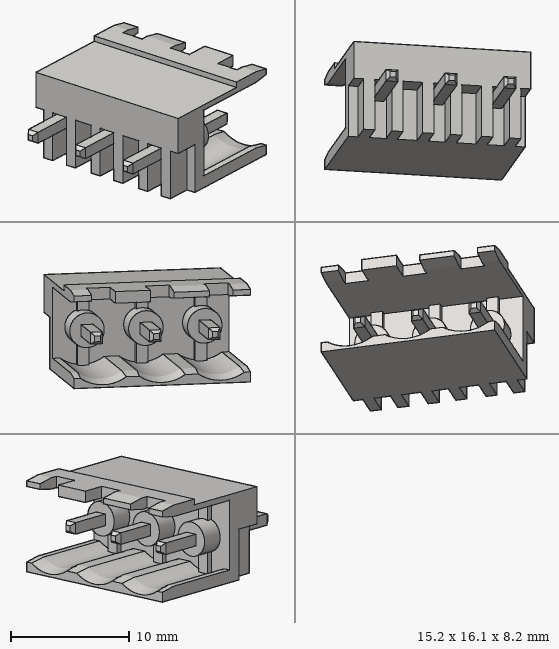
import cadquery as cq
import math

pin_count = 3
width = 15.25
pitch = width / pin_count
height = 8.2
total_length = 16.1
pin_tail = 4.0
housing_depth = total_length - pin_tail
wall_depth = 3.51
pin_height = 3.77
pin_xs = [(i - (pin_count - 1) / 2) * pitch for i in range(pin_count)]

top_flange = 1.0
top_relief = 0.5
relief_end = 8.0
bottom_flange = 1.11
lead_in_length = 1.42
lead_in_angle = 10.0
lead_in_drop = lead_in_length * math.tan(math.radians(lead_in_angle))
lead_in_start = housing_depth - lead_in_length
notch_width = 2.05
notch_depth = 2.1
scoop_radius = 3.27

slot_depth = 2.29
slot_height = 4.45
wide_slot = 1.69
pin_slot = 1.45

boss_diameter = 2.98
boss_end = 5.5
rib_width = 1.0
rib_end = 4.01
pin_size = 1.01
pin_length = 13.7
pin_tip_length = 0.4
pin_tip_size = 0.5


def box(x_min, x_max, y_min, y_max, z_min, z_max):
    size = (x_max - x_min, y_max - y_min, z_max - z_min)
    return cq.Workplane("XY").box(*size, centered=False).translate((x_min, y_min, z_min))


def extrude_profile(points, x_min, x_max):
    """Extrude a closed (y, z) outline from x_min to x_max."""
    return cq.Workplane("YZ").polyline(points).close().extrude(x_max - x_min).translate((x_min, 0, 0))


def make_housing():
    """C-shaped side profile with a lead-in on the bottom flange."""
    outline = [
        (0, 0),
        (housing_depth, 0),
        (housing_depth, bottom_flange - lead_in_drop),
        (lead_in_start, bottom_flange),
        (wall_depth, bottom_flange),
        (wall_depth, height - top_flange),
        (housing_depth, height - top_flange),
        (housing_depth, height),
        (relief_end, height),
        (relief_end, height - top_relief),
        (0, height - top_relief),
    ]
    return extrude_profile(outline, -width / 2, width / 2)


def cut_notches(body):
    """Notches through the top flange, one above each pin."""
    for x in pin_xs:
        notch = box(x - notch_width / 2, x + notch_width / 2,
                    housing_depth - notch_depth, housing_depth, height - top_flange, height)
        body = body.cut(notch)
    return body


def cut_tab_lead_ins(body):
    """Taper the top-flange tabs above and below.

    The tab between the last two pins stays square.
    """
    plain_tab_start = pin_xs[-2] + notch_width / 2
    last_tab_start = pin_xs[-1] + notch_width / 2
    for x_min, x_max in [(-width / 2, plain_tab_start), (last_tab_start, width / 2)]:
        for face, inward in [(height, -1), (height - top_flange, 1)]:
            wedge = [
                (lead_in_start, face),
                (housing_depth, face),
                (housing_depth, face + inward * lead_in_drop),
            ]
            body = body.cut(extrude_profile(wedge, x_min, x_max))
    return body


def cut_scoops(body):
    """Round troughs along the bottom flange, flaring out over the lead-in."""
    flared_radius = scoop_radius + lead_in_drop
    half_section = [
        (0, wall_depth),
        (scoop_radius, wall_depth),
        (scoop_radius, lead_in_start),
        (flared_radius, housing_depth),
        (0, housing_depth),
    ]
    scoop = cq.Workplane("XY").polyline(half_section).close().revolve(360, (0, 0, 0), (0, 1, 0))
    lower_half = box(-pitch, pitch, wall_depth, housing_depth, -pin_height, 0)
    scoop = scoop.intersect(lower_half)
    for x in pin_xs:
        body = body.cut(scoop.translate((x, 0, pin_height)))
    return body


def cut_back_slots(body):
    """Slots open to the back and underside: narrow at the pins, wide midway between them."""
    slots = [(x, pin_slot) for x in pin_xs]
    slots += [(pin_xs[0] + (i - 0.5) * pitch, wide_slot) for i in range(pin_count + 1)]
    for x, slot_width in slots:
        body = body.cut(box(x - slot_width / 2, x + slot_width / 2, 0, slot_depth, 0, slot_height))
    return body


def make_pin():
    """Square pin along Y with a tapered tip at each end."""
    square_length = pin_length - 2 * pin_tip_length
    pin = cq.Workplane("XZ").rect(pin_size, pin_size).extrude(square_length / 2, both=True)
    for end in (">Y", "<Y"):
        base = pin.faces(end).workplane(centerOption="CenterOfMass").rect(pin_size, pin_size)
        tip = base.workplane(offset=pin_tip_length).rect(pin_tip_size, pin_tip_size)
        pin = tip.loft(combine=True)
    return pin.translate((0, pin_length / 2 - pin_tail, 0))


def add_contacts(body):
    """Boss, stiffening rib and pin at each position."""
    boss = cq.Workplane("XZ", origin=(0, slot_depth, 0)).circle(boss_diameter / 2)
    boss = boss.extrude(slot_depth - boss_end)
    pin = make_pin()
    scoop_floor = pin_height - scoop_radius
    for x in pin_xs:
        rib = box(x - rib_width / 2, x + rib_width / 2,
                  slot_depth, rib_end, scoop_floor, height - top_flange)
        body = body.union(rib)
        body = body.union(boss.translate((x, 0, pin_height)))
        body = body.union(pin.translate((x, 0, pin_height)))
    return body


housing = make_housing()
housing = cut_notches(housing)
housing = cut_tab_lead_ins(housing)
housing = cut_scoops(housing)
housing = cut_back_slots(housing)
result = add_contacts(housing)